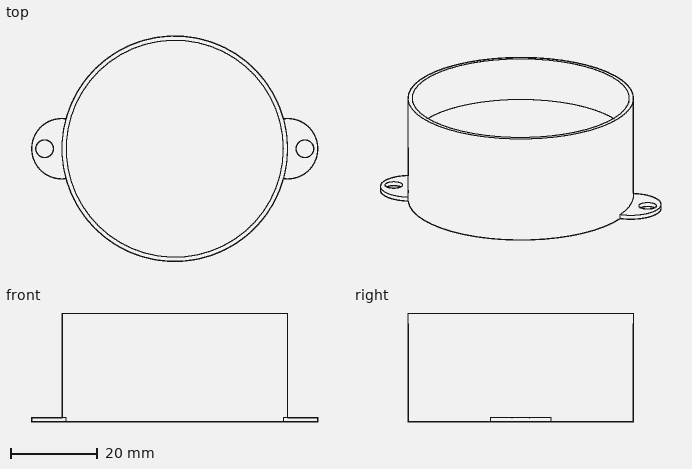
import cadquery as cq

overall_length = 66.0
cup_diameter = 52.0
cup_height = 25.0
wall = 1.0
recess_depth = 10.0
ear_radius = 7.0
ear_thickness = 1.0
hole_diameter = 4.0
hole_spacing = 60.0

ear_center = overall_length / 2 - ear_radius


def make_cup_body():
    """Solid round body, standing on the XY plane."""
    return cq.Workplane("XY").circle(cup_diameter / 2).extrude(cup_height)


def make_ears():
    """Two round mounting ears, flush with the base and half buried in the body."""
    return (
        cq.Workplane("XY")
        .pushPoints([(-ear_center, 0), (ear_center, 0)])
        .circle(ear_radius)
        .extrude(ear_thickness)
    )


def make_recess():
    """Shallow round recess open at the top, leaving a thin rim."""
    return (
        cq.Workplane("XY")
        .workplane(offset=cup_height - recess_depth)
        .circle(cup_diameter / 2 - wall)
        .extrude(recess_depth)
    )


def make_screw_holes():
    """One through hole near the tip of each ear."""
    return (
        cq.Workplane("XY")
        .pushPoints([(-hole_spacing / 2, 0), (hole_spacing / 2, 0)])
        .circle(hole_diameter / 2)
        .extrude(ear_thickness)
    )


result = make_cup_body().union(make_ears()).cut(make_recess()).cut(make_screw_holes())